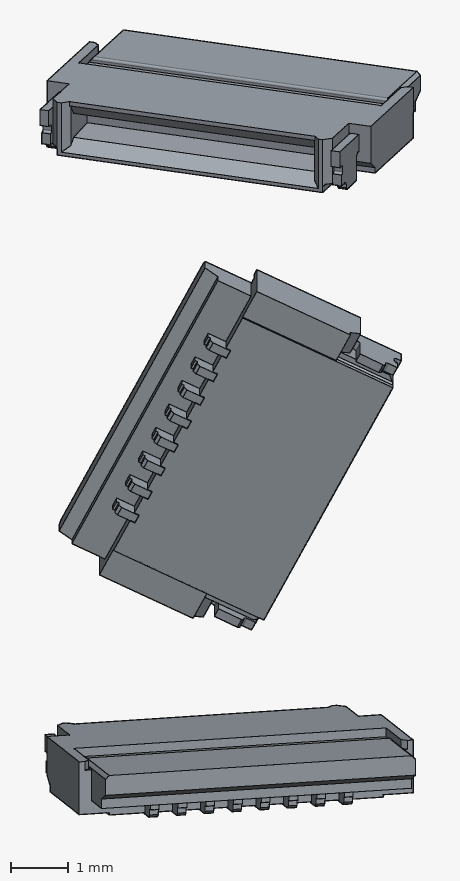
import cadquery as cq


LENGTH = 6.0
DEPTH = 3.8
HEIGHT = 1.0

WING_FRONT = 0.9
WING_BACK = 2.91
WING_BOTTOM = 0.065
WING_TOE_RUN = 0.2
WING_TOE_LOW = 0.17
WING_TOE_HIGH = 0.32

NECK_HALF = 2.59
NECK_UNDERSIDE = 0.17
NECK_CORNER = 0.13
BASE_HALF = NECK_HALF - NECK_CORNER
BASE_BOTTOM = 0.025
BASE_BEVEL = 0.035

MOUTH_HALF = 2.38
MOUTH_FLARE = 0.125
MOUTH_FLOOR = 0.09
MOUTH_CEILING = 0.925
LIP_SETBACK = 0.11
LEAD_IN_DEPTH = 0.265
CAVITY_DEPTH = 0.9
CAVITY_FLOOR = 0.29
CAVITY_CEILING = 0.73
CAVITY_TAPER = 0.04

RECESS_HALF = 2.8
RECESS_FRONT = 1.895
RECESS_FLOOR = 0.845
RECESS_CORNER = 0.095

LID_HALF = 2.785
LID_FRONT = 2.37
LID_TOP = 0.94
LID_BOTTOM = 0.305
LID_EDGE_CHAMFER = 0.065
LID_FRONT_RADIUS = 0.05
LID_HEEL_BACK = 3.55
LID_HEEL_TOP = 0.475
LID_TAIL_BOTTOM = 0.595

CONTACT_COUNT = 8
CONTACT_PITCH = 0.5
CONTACT_WIDTH = 0.155
CONTACT_FRONT = 2.82
CONTACT_BACK = 3.25
CONTACT_STEP = 0.04
CONTACT_STEP_Z = 0.15
CONTACT_CHAMFER = 0.055

PLATE_INNER = 2.615
PLATE_THICKNESS = 0.16
PLATE_TOP = 0.82
PLATE_EMBED = 0.12
PLATE_ROOT = WING_FRONT + PLATE_EMBED
PLATE_ARM_BOTTOM = 0.505
PLATE_SOLE_BACK = 0.8
PLATE_SOLE_RISE = 0.01
PLATE_SOLE_FRONT = 0.305
PLATE_SOLE_CHAMFER = 0.05
PLATE_TOE_BOTTOM = 0.16
PLATE_TOE_TOP = 0.365
PLATE_TOE_FRONT = 0.08
PLATE_NOTCH_BACK = 0.14
PLATE_NOTCH_TOP = 0.53
PLATE_CORNER_RADIUS = 0.055
PLATE_NOTCH_FOOT_RADIUS = 0.04


def across(points, x_min, x_max):
    """Extrude a closed (y, z) outline along X."""
    return cq.Workplane("YZ", origin=(x_min, 0, 0)).polyline(points).close().extrude(x_max - x_min)


def upright(points, z_min, z_max):
    """Extrude a closed (x, y) outline along Z."""
    return cq.Workplane("XY", origin=(0, 0, z_min)).polyline(points).close().extrude(z_max - z_min)


def mirrored(half_points):
    """Complete an outline that is symmetric about its first coordinate."""
    return half_points + [(-a, b) for a, b in reversed(half_points)]


def make_wings():
    profile = [
        (WING_FRONT, HEIGHT),
        (WING_FRONT, WING_TOE_HIGH),
        (WING_FRONT + WING_TOE_RUN, WING_TOE_LOW),
        (WING_FRONT + WING_TOE_RUN, WING_BOTTOM),
        (WING_BACK, WING_BOTTOM),
        (WING_BACK, HEIGHT),
    ]
    return across(profile, -LENGTH / 2, LENGTH / 2)


def make_neck():
    section = mirrored([
        (BASE_HALF, BASE_BOTTOM),
        (BASE_HALF, NECK_UNDERSIDE - BASE_BEVEL),
        (BASE_HALF + BASE_BEVEL, NECK_UNDERSIDE),
        (NECK_HALF, NECK_UNDERSIDE),
        (NECK_HALF, HEIGHT),
    ])
    plan = mirrored([
        (NECK_HALF - NECK_CORNER, 0),
        (NECK_HALF, NECK_CORNER),
        (NECK_HALF, WING_BACK),
    ])
    bar = cq.Workplane("XZ").polyline(section).close().extrude(-WING_BACK)
    return bar.intersect(upright(plan, 0, HEIGHT))


def make_cavity():
    profile = [
        (0, MOUTH_FLOOR),
        (LEAD_IN_DEPTH, CAVITY_FLOOR),
        (CAVITY_DEPTH, CAVITY_FLOOR + CAVITY_TAPER),
        (CAVITY_DEPTH, CAVITY_CEILING - CAVITY_TAPER),
        (LEAD_IN_DEPTH, CAVITY_CEILING),
        (LIP_SETBACK, MOUTH_CEILING),
        (LIP_SETBACK, HEIGHT),
        (0, HEIGHT),
    ]
    plan = mirrored([
        (MOUTH_HALF, 0),
        (MOUTH_HALF - MOUTH_FLARE, MOUTH_FLARE),
        (MOUTH_HALF - MOUTH_FLARE, CAVITY_DEPTH),
    ])
    return across(profile, -MOUTH_HALF, MOUTH_HALF).intersect(upright(plan, 0, HEIGHT))


def make_recess():
    plan = mirrored([
        (RECESS_HALF, RECESS_FRONT),
        (RECESS_HALF, WING_BACK - RECESS_CORNER),
        (RECESS_HALF + RECESS_CORNER, WING_BACK),
    ])
    return upright(plan, RECESS_FLOOR, HEIGHT)


def make_lid():
    profile = [
        (LID_FRONT, LID_TOP),
        (DEPTH, LID_TOP),
        (DEPTH, LID_TAIL_BOTTOM),
        (LID_HEEL_BACK, LID_HEEL_TOP),
        (LID_HEEL_BACK, LID_BOTTOM),
        (LID_FRONT, LID_BOTTOM),
    ]
    lid = across(profile, -LID_HALF, LID_HALF)
    lid = lid.faces(">Z").edges("|Y").chamfer(LID_EDGE_CHAMFER)
    return lid.faces(">Z").edges("<Y").fillet(LID_FRONT_RADIUS)


def make_contact(x_center):
    heel = CONTACT_BACK - CONTACT_STEP
    profile = [
        (CONTACT_FRONT, LID_BOTTOM),
        (CONTACT_FRONT, 0),
        (heel - CONTACT_CHAMFER, 0),
        (heel, CONTACT_CHAMFER),
        (heel, CONTACT_STEP_Z),
        (CONTACT_BACK, CONTACT_STEP_Z),
        (CONTACT_BACK, LID_BOTTOM),
    ]
    return across(profile, x_center - CONTACT_WIDTH / 2, x_center + CONTACT_WIDTH / 2)


def round_edge(solid, y, z, radius):
    """Fillet the X-parallel plate edge that passes through (y, z)."""
    x_middle = PLATE_INNER + PLATE_THICKNESS / 2
    return solid.edges(cq.NearestToPointSelector((x_middle, y, z))).fillet(radius)


def make_plate():
    profile = [
        (0, PLATE_TOP),
        (PLATE_ROOT, PLATE_TOP),
        (PLATE_ROOT, PLATE_ARM_BOTTOM),
        (PLATE_SOLE_BACK, PLATE_ARM_BOTTOM),
        (PLATE_SOLE_BACK, PLATE_SOLE_RISE),
        (PLATE_SOLE_FRONT + PLATE_SOLE_CHAMFER, 0),
        (PLATE_SOLE_FRONT, PLATE_SOLE_CHAMFER),
        (PLATE_SOLE_FRONT, PLATE_TOE_BOTTOM),
        (PLATE_TOE_FRONT, PLATE_TOE_BOTTOM),
        (PLATE_TOE_FRONT, PLATE_TOE_TOP),
        (PLATE_NOTCH_BACK, PLATE_TOE_TOP),
        (PLATE_NOTCH_BACK, PLATE_NOTCH_TOP),
        (0, PLATE_NOTCH_TOP),
    ]
    plate = across(profile, PLATE_INNER, PLATE_INNER + PLATE_THICKNESS)
    plate = round_edge(plate, PLATE_SOLE_BACK, PLATE_ARM_BOTTOM, PLATE_CORNER_RADIUS)
    plate = round_edge(plate, PLATE_SOLE_FRONT, PLATE_TOE_BOTTOM, PLATE_CORNER_RADIUS)
    plate = round_edge(plate, PLATE_NOTCH_BACK, PLATE_NOTCH_TOP, PLATE_CORNER_RADIUS)
    return round_edge(plate, PLATE_NOTCH_BACK, PLATE_TOE_TOP, PLATE_NOTCH_FOOT_RADIUS)


housing = make_wings().union(make_neck()).cut(make_cavity()).cut(make_recess())
result = housing.union(make_lid())

for index in range(CONTACT_COUNT):
    contact_x = (index - (CONTACT_COUNT - 1) / 2) * CONTACT_PITCH
    result = result.union(make_contact(contact_x))

plate = make_plate()
result = result.union(plate).union(plate.mirror("YZ"))